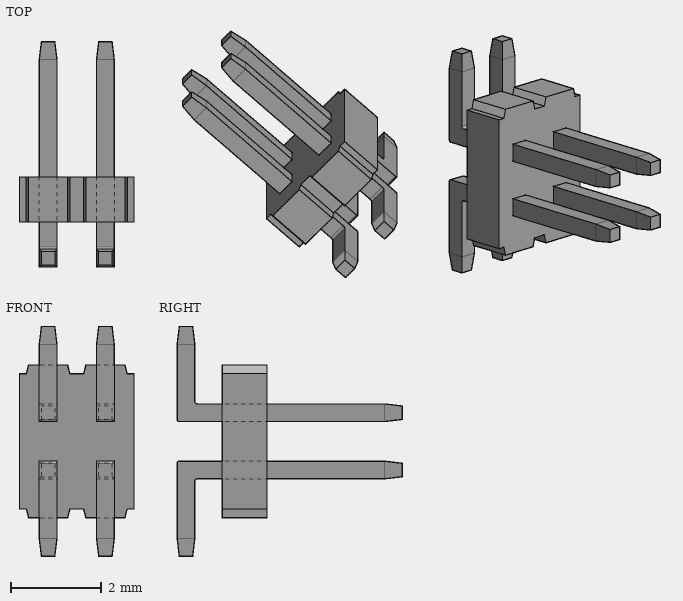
import cadquery as cq

PITCH = 1.27
PIN_COLUMNS = (-1, 1)
PIN_ROWS = (-1, 1)

PIN_WIDTH = 0.4
PIN_TIP_WIDTH = 0.3
PIN_TIP_LENGTH = 0.4
PIN_HEIGHT_SPAN = 5.1
PIN_DEPTH = 5.0
BEND_RADIUS = 0.05

HOUSING_WIDTH = len(PIN_COLUMNS) * PITCH
HOUSING_DEPTH = 1.0
HOUSING_CORE_HEIGHT = 3.0
PAD_HEIGHT = 0.2
PAD_BASE_WIDTH = 0.97
PAD_TOP_WIDTH = 0.865
BEND_STANDOFF = 1.0

PIN_FRONT_Y = -BEND_STANDOFF
PIN_END_Y = PIN_FRONT_Y + PIN_DEPTH
ROW_Z = PITCH / 2
PIN_OUTER_Z = PIN_HEIGHT_SPAN / 2


def column_x(column):
    return column * PITCH / 2


def tapered_tip(base_plane):
    """Square tip narrowing evenly along the normal of the plane of its base."""
    return (
        cq.Workplane(base_plane)
        .rect(PIN_WIDTH, PIN_WIDTH)
        .workplane(offset=PIN_TIP_LENGTH)
        .rect(PIN_TIP_WIDTH, PIN_TIP_WIDTH)
        .loft(ruled=True)
    )


def make_upward_pin(x):
    """Upper-row pin: a long leg along +Y and a bent leg along +Z."""
    half_width = PIN_WIDTH / 2
    inner_y = PIN_FRONT_Y + PIN_WIDTH
    bottom_z = ROW_Z - half_width
    inner_z = ROW_Z + half_width
    long_leg_end = PIN_END_Y - PIN_TIP_LENGTH
    bent_leg_end = PIN_OUTER_Z - PIN_TIP_LENGTH

    bent_bar = (
        cq.Workplane("YZ", origin=(x, 0, 0))
        .moveTo(PIN_FRONT_Y, bottom_z)
        .lineTo(long_leg_end, bottom_z)
        .lineTo(long_leg_end, inner_z)
        .lineTo(inner_y, inner_z)
        .lineTo(inner_y, bent_leg_end)
        .lineTo(PIN_FRONT_Y, bent_leg_end)
        .close()
        .extrude(half_width, both=True)
    )
    outer_corner = cq.selectors.NearestToPointSelector((x, PIN_FRONT_Y, bottom_z))
    inner_corner = cq.selectors.NearestToPointSelector((x, inner_y, inner_z))
    bent_bar = bent_bar.edges(outer_corner).fillet(BEND_RADIUS)
    bent_bar = bent_bar.edges(inner_corner).fillet(BEND_RADIUS)

    long_tip = tapered_tip(cq.Plane(origin=(x, long_leg_end, ROW_Z), xDir=(1, 0, 0), normal=(0, 1, 0)))
    bent_tip = tapered_tip(
        cq.Plane(origin=(x, PIN_FRONT_Y + half_width, bent_leg_end), xDir=(1, 0, 0), normal=(0, 0, 1))
    )
    return bent_bar.union(long_tip).union(bent_tip).solids()


def make_pin(column, row):
    """One pin of the grid; the lower row mirrors the upper row."""
    pin = make_upward_pin(column_x(column))
    if row < 0:
        pin = pin.mirror("XY").solids()
    return pin


def make_pad_pair(x):
    """Trapezoidal pads above and below the housing core in one column."""
    core_top = HOUSING_CORE_HEIGHT / 2
    pad_top = core_top + PAD_HEIGHT
    upper_pad = (
        cq.Workplane("XZ")
        .moveTo(x - PAD_BASE_WIDTH / 2, core_top)
        .lineTo(x + PAD_BASE_WIDTH / 2, core_top)
        .lineTo(x + PAD_TOP_WIDTH / 2, pad_top)
        .lineTo(x - PAD_TOP_WIDTH / 2, pad_top)
        .close()
        .extrude(-HOUSING_DEPTH)
    )
    return upper_pad.union(upper_pad.mirror("XY"))


def make_housing():
    """Padded block with a square through hole matching each pin."""
    housing = cq.Workplane("XZ").rect(HOUSING_WIDTH, HOUSING_CORE_HEIGHT).extrude(-HOUSING_DEPTH)
    for column in PIN_COLUMNS:
        housing = housing.union(make_pad_pair(column_x(column)))
    pin_holes = (
        cq.Workplane("XZ")
        .rarray(PITCH, PITCH, len(PIN_COLUMNS), len(PIN_ROWS))
        .rect(PIN_WIDTH, PIN_WIDTH)
        .extrude(-HOUSING_DEPTH)
    )
    return housing.cut(pin_holes).solids()


housing = make_housing()
pins = [make_pin(column, row) for column in PIN_COLUMNS for row in PIN_ROWS]

result = cq.Compound.makeCompound([housing.val(), *[pin.val() for pin in pins]])